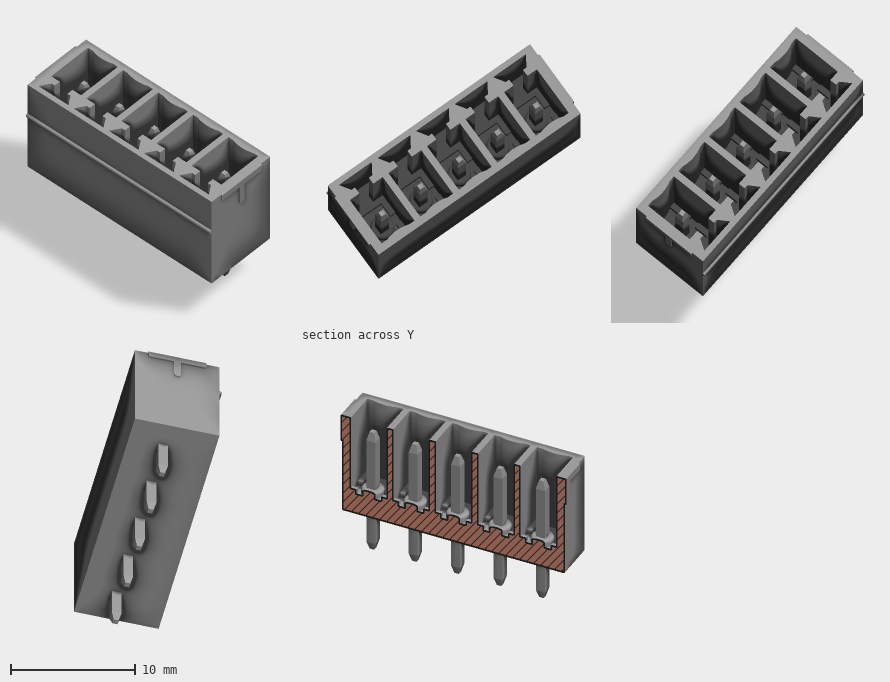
import cadquery as cq


POLES = 5
PITCH = 3.8

OVERALL_X = 20.25
TAB_OUT = 0.15
BODY_X = OVERALL_X - 2 * TAB_OUT
BODY_Y = 7.0
BODY_Z = 9.19
BACK_Y = 2.83
FRONT_Y = BACK_Y - BODY_Y
MID_Y = (BACK_Y + FRONT_Y) / 2

RIB_R = 0.2
RIB_BELOW_TOP = 3.4
RIB_Z = BODY_Z - RIB_BELOW_TOP

TAB_BAR_Y = 4.78
TAB_BAR_Z = 0.6
TAB_STEM_Y = 0.57
TAB_STEM_R = TAB_STEM_Y / 2
TAB_Z = 2.49

CHAMBER_X = 3.24
CHAMBER_DEPTH = 6.88
BACK_WALL = 0.6
CHAMBER_BACK_Y = BACK_Y - BACK_WALL
LUG_BACK_Y = -2.17
LUG_FRONT_Y = -2.77
FRONT_WALL = 0.49
DOVETAIL_FRONT_Y = FRONT_Y + FRONT_WALL
NECK_X = 1.38
SHOULDER_X = 2.06
CHAMBER_FLOOR_Z = BODY_Z - CHAMBER_DEPTH

RECESS_X = 2.25
RECESS_FRONT_Y = -1.68
RECESS_DEPTH = 0.4
BULGE = 0.18
RECESS_FLOOR_Z = CHAMBER_FLOOR_Z - RECESS_DEPTH

BOSS_D = 1.9
BOSS_Z = 0.6
BOSS_FILLET = 0.25

PIN_W = 0.8
PIN_TIP_W = 0.4
PIN_TAPER_Z = 0.77
PIN_BOTTOM_Z = -3.5
PIN_BELOW_TOP = 1.28
PIN_TOP_Z = BODY_Z - PIN_BELOW_TOP

pole_xs = [(i - (POLES - 1) / 2) * PITCH for i in range(POLES)]


def box(size_x, y_min, y_max, z_min, z_max):
    """Box centred on X = 0 between the given Y and Z limits."""
    return (
        cq.Workplane("XY", origin=(0, y_min, z_min))
        .box(size_x, y_max - y_min, z_max - z_min, centered=(True, False, False))
    )


def make_rib():
    return cq.Workplane("YZ").center(FRONT_Y, RIB_Z).circle(RIB_R).extrude(BODY_X / 2, both=True)


def make_end_tabs():
    """T-shaped plate through the whole length, so that it stands out at both ends."""
    bar = box(OVERALL_X, MID_Y - TAB_BAR_Y / 2, MID_Y + TAB_BAR_Y / 2, BODY_Z - TAB_BAR_Z, BODY_Z)
    stem_end_z = BODY_Z - TAB_Z + TAB_STEM_R
    stem = (
        cq.Workplane("YZ")
        .moveTo(MID_Y - TAB_STEM_R, BODY_Z)
        .lineTo(MID_Y - TAB_STEM_R, stem_end_z)
        .threePointArc((MID_Y, BODY_Z - TAB_Z), (MID_Y + TAB_STEM_R, stem_end_z))
        .lineTo(MID_Y + TAB_STEM_R, BODY_Z)
        .close()
        .extrude(OVERALL_X / 2, both=True)
    )
    return bar.union(stem)


def make_chamber():
    """Space inside one chamber down to its floor."""
    return (
        cq.Workplane("XY", origin=(0, 0, CHAMBER_FLOOR_Z))
        .moveTo(-CHAMBER_X / 2, CHAMBER_BACK_Y)
        .lineTo(-RECESS_X / 2, CHAMBER_BACK_Y)
        .threePointArc((0, CHAMBER_BACK_Y - BULGE), (RECESS_X / 2, CHAMBER_BACK_Y))
        .lineTo(CHAMBER_X / 2, CHAMBER_BACK_Y)
        .lineTo(CHAMBER_X / 2, LUG_BACK_Y)
        .lineTo(NECK_X / 2, LUG_BACK_Y)
        .lineTo(NECK_X / 2, LUG_FRONT_Y)
        .lineTo(SHOULDER_X / 2, LUG_FRONT_Y)
        .lineTo(CHAMBER_X / 2, DOVETAIL_FRONT_Y)
        .lineTo(-CHAMBER_X / 2, DOVETAIL_FRONT_Y)
        .lineTo(-SHOULDER_X / 2, LUG_FRONT_Y)
        .lineTo(-NECK_X / 2, LUG_FRONT_Y)
        .lineTo(-NECK_X / 2, LUG_BACK_Y)
        .lineTo(-CHAMBER_X / 2, LUG_BACK_Y)
        .close()
        .extrude(CHAMBER_DEPTH)
    )


def make_recess():
    """Cross-shaped recess, its back edge following the bulge of the chamber wall."""
    middle = (
        cq.Workplane("XY", origin=(0, 0, RECESS_FLOOR_Z))
        .moveTo(-RECESS_X / 2, CHAMBER_BACK_Y)
        .threePointArc((0, CHAMBER_BACK_Y - BULGE), (RECESS_X / 2, CHAMBER_BACK_Y))
        .lineTo(RECESS_X / 2, RECESS_FRONT_Y)
        .lineTo(-RECESS_X / 2, RECESS_FRONT_Y)
        .close()
        .extrude(RECESS_DEPTH)
    )
    arms = box(CHAMBER_X, -PIN_W / 2, PIN_W / 2, RECESS_FLOOR_Z, CHAMBER_FLOOR_Z)
    return middle.union(arms)


def make_boss():
    return (
        cq.Workplane("XY", origin=(0, 0, RECESS_FLOOR_Z))
        .circle(BOSS_D / 2)
        .extrude(BOSS_Z)
        .faces(">Z")
        .edges()
        .fillet(BOSS_FILLET)
    )


def make_pin_hole():
    return box(PIN_W, -PIN_W / 2, PIN_W / 2, 0, RECESS_FLOOR_Z + BOSS_Z)


def make_housing():
    body = box(BODY_X, FRONT_Y, BACK_Y, 0, BODY_Z).union(make_rib()).union(make_end_tabs())
    cavity = make_chamber().union(make_recess()).cut(make_boss()).union(make_pin_hole())
    for x in pole_xs:
        body = body.cut(cavity.translate((x, 0, 0)))
    return body


def make_taper(base_z, height):
    """End of the pin that narrows away from base_z; a negative height points down."""
    return (
        cq.Workplane("XY", origin=(0, 0, base_z))
        .rect(PIN_W, PIN_W)
        .workplane(offset=height)
        .rect(PIN_TIP_W, PIN_TIP_W)
        .loft(ruled=True)
    )


def make_pin(x):
    shank_bottom_z = PIN_BOTTOM_Z + PIN_TAPER_Z
    shank_top_z = PIN_TOP_Z - PIN_TAPER_Z
    shank = box(PIN_W, -PIN_W / 2, PIN_W / 2, shank_bottom_z, shank_top_z)
    pin = shank.union(make_taper(shank_top_z, PIN_TAPER_Z)).union(make_taper(shank_bottom_z, -PIN_TAPER_Z))
    return pin.translate((x, 0, 0))


housing = make_housing()
pins = [make_pin(x) for x in pole_xs]

result = cq.Compound.makeCompound([housing.solids().val(), *[pin.solids().val() for pin in pins]])